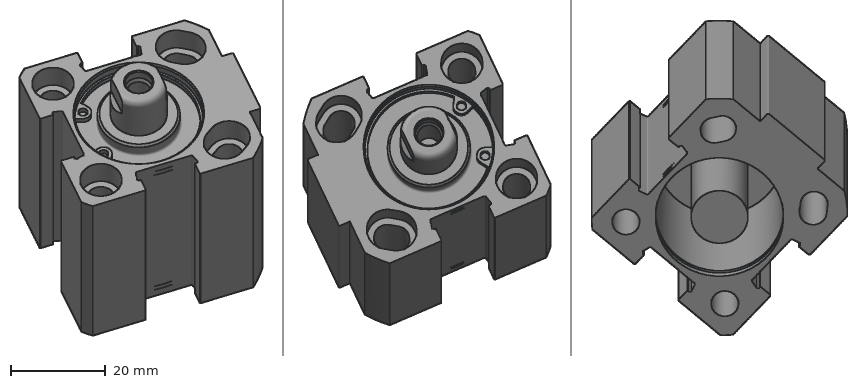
import cadquery as cq
import math

TOTAL_HEIGHT = 54.0

HOUSING_HEIGHT = 43.5
HALF_WIDTH = 40.0 / 2
BACK_SHOULDER_Y = 22.0
TONGUE_BACK_Y = 44.5 - HALF_WIDTH
TONGUE_WIDTH = 16.2
TONGUE_CORNER_RADIUS = 0.25
CORNER_TURNING_DIAMETER = 54.0

SIDE_SLOT_FLOOR_OFFSET = 14.7
FRONT_SLOT_FLOOR_OFFSET = 14.8
SLOT_LIP_OFFSET = 17.0
SLOT_OPENING_WIDTH = 12.2
SLOT_FLOOR_WIDTH = 12.7
SLOT_FLOOR_FILLET = 0.3
SLOT_UNDERCUT_WIDTH = 13.7
SLOT_CORNER_SIZE = 0.3
SLOT_MOUTH_CHAMFER = 0.15

HOLE_OFFSET = 14.0
HOLE_DIAMETER = 5.8
COUNTERBORE_DIAMETER = 8.8
COUNTERBORE_DEPTH = 5.9
REAR_HOLE_SHIFT_IN = 1.0
REAR_HOLE_SHIFT_BACK = 1.45

BORE_DIAMETER = 27.0
BORE_CHAMFER = 0.3
GROOVE_DIAMETER = 29.15
GROOVE_WIDTH = 1.2
TOP_GROOVE_DEPTH = 2.0
BOTTOM_GROOVE_HEIGHT = 1.85

RING_OUTER_DIAMETER = 28.4
RING_INNER_DIAMETER = 25.9
RING_THICKNESS = GROOVE_WIDTH
LUG_RADIUS = 1.8
LUG_CENTRE_RADIUS = 11.95
LUG_ANGLE = 30.4
LUG_FLARE_ANGLE = 27.0
LUG_HOLE_DIAMETER = 2.0

BOSS_DIAMETER = 17.5
BOSS_CHAMFER = 0.5
BOSS_FILLET = 0.5
BOSS_TOP_DROP = 0.15
COVER_THICKNESS = 6.0

ROD_DIAMETER = 12.0
ROD_FILLET = 1.3
FLATS_WIDTH = 10.0
FLATS_HEIGHT = 4.5
SOCKET_MOUTH_DIAMETER = 6.25
SOCKET_DIAMETER = 5.8
SOCKET_DEPTH = 2.2
SOCKET_CONE_DEPTH = 0.8
ROD_HOLE_DIAMETER = 4.9
ROD_HOLE_DEPTH = 12.0

LUG_GAP_HALF_ANGLE = math.degrees(math.asin(LUG_RADIUS / LUG_CENTRE_RADIUS))

RING_TOP_Z = HOUSING_HEIGHT - TOP_GROOVE_DEPTH
RING_BOTTOM_Z = RING_TOP_Z - RING_THICKNESS
COVER_TOP_Z = RING_BOTTOM_Z
COVER_BOTTOM_Z = COVER_TOP_Z - COVER_THICKNESS
BOSS_TOP_Z = HOUSING_HEIGHT - BOSS_TOP_DROP


def cylinder(diameter, bottom_z, top_z):
    """Cylinder on the Z axis between two heights."""
    base = cq.Workplane("XY").workplane(offset=bottom_z)
    return base.circle(diameter / 2).extrude(top_z - bottom_z)




def housing_block():
    """Square block with a tongue on its rear face and turned corners."""
    depth = HALF_WIDTH + BACK_SHOULDER_Y
    block = cq.Workplane("XY").box(2 * HALF_WIDTH, depth, HOUSING_HEIGHT, centered=(True, False, False))
    block = block.translate((0, -HALF_WIDTH, 0))
    block = block.intersect(cylinder(CORNER_TURNING_DIAMETER, 0, HOUSING_HEIGHT))
    tongue = (
        cq.Workplane("XY")
        .box(TONGUE_WIDTH, TONGUE_BACK_Y, HOUSING_HEIGHT, centered=(True, False, False))
        .edges("|Z and >Y")
        .fillet(TONGUE_CORNER_RADIUS)
    )
    return block.union(tongue)


def undercut_slot(floor_offset):
    """Full-height slot cutter opening through the front (-Y) face."""
    opening = SLOT_OPENING_WIDTH / 2
    undercut = SLOT_UNDERCUT_WIDTH / 2
    right_side = [
        (opening + SLOT_MOUTH_CHAMFER, -HALF_WIDTH),
        (opening, -HALF_WIDTH + SLOT_MOUTH_CHAMFER),
        (opening, -SLOT_LIP_OFFSET),
        (undercut - SLOT_CORNER_SIZE, -SLOT_LIP_OFFSET),
        (undercut, -SLOT_LIP_OFFSET + SLOT_CORNER_SIZE),
        (SLOT_FLOOR_WIDTH / 2, -floor_offset),
    ]
    left_side = [(-x, y) for x, y in reversed(right_side)]
    slot = cq.Workplane("XY").polyline(right_side + left_side).close().extrude(HOUSING_HEIGHT)
    return slot.faces(">Y").edges("|Z").fillet(SLOT_FLOOR_FILLET)


def front_hole(side, diameter, bottom_z):
    """Round hole cutter at a front corner; side is -1 for left and 1 for right."""
    plane = cq.Workplane("XY").workplane(offset=bottom_z).center(side * HOLE_OFFSET, -HOLE_OFFSET)
    return plane.circle(diameter / 2).extrude(HOUSING_HEIGHT - bottom_z)


def rear_hole(side, diameter, bottom_z):
    """Slotted hole cutter at a rear corner; side is -1 for left and 1 for right."""
    middle_x = side * (HOLE_OFFSET - REAR_HOLE_SHIFT_IN / 2)
    middle_y = HOLE_OFFSET + REAR_HOLE_SHIFT_BACK / 2
    length = math.hypot(REAR_HOLE_SHIFT_IN, REAR_HOLE_SHIFT_BACK) + diameter
    angle = math.degrees(math.atan2(REAR_HOLE_SHIFT_BACK, -side * REAR_HOLE_SHIFT_IN))
    plane = cq.Workplane("XY").workplane(offset=bottom_z).center(middle_x, middle_y)
    return plane.slot2D(length, diameter, angle).extrude(HOUSING_HEIGHT - bottom_z)


def bore():
    """Through bore cutter with a chamfered mouth and a snap ring groove near each end."""
    cutter = cylinder(BORE_DIAMETER, 0, HOUSING_HEIGHT)
    mouth = cq.Workplane("XY").add(
        cq.Solid.makeCone(
            BORE_DIAMETER / 2,
            BORE_DIAMETER / 2 + BORE_CHAMFER,
            BORE_CHAMFER,
            pnt=cq.Vector(0, 0, HOUSING_HEIGHT - BORE_CHAMFER),
        )
    )
    cutter = cutter.union(mouth)
    for groove_z in (BOTTOM_GROOVE_HEIGHT, RING_BOTTOM_Z):
        cutter = cutter.union(cylinder(GROOVE_DIAMETER, groove_z, groove_z + GROOVE_WIDTH))
    return cutter


def make_housing():
    housing = housing_block()
    housing = housing.cut(undercut_slot(FRONT_SLOT_FLOOR_OFFSET))
    side_slot = undercut_slot(SIDE_SLOT_FLOOR_OFFSET)
    for side in (-1, 1):
        housing = housing.cut(side_slot.rotate((0, 0, 0), (0, 0, 1), side * 90))
        for hole in (front_hole, rear_hole):
            housing = housing.cut(hole(side, HOLE_DIAMETER, 0))
            housing = housing.cut(hole(side, COUNTERBORE_DIAMETER, HOUSING_HEIGHT - COUNTERBORE_DEPTH))
    return housing.cut(bore())




def offset_point(start, angle, distance):
    """Point at a distance from start, at an angle in degrees from +X."""
    turn = math.radians(angle)
    return (start[0] + distance * math.cos(turn), start[1] + distance * math.sin(turn))


def snap_ring_lug():
    """Right-hand lug: a round eye with one radial side at the gap and one flared side."""
    outward = LUG_ANGLE - 90
    gap_side = outward - LUG_GAP_HALF_ANGLE
    flared_side = outward + LUG_FLARE_ANGLE
    eye = offset_point((0, 0), outward, LUG_CENTRE_RADIUS)
    gap_tangent = offset_point(eye, gap_side - 90, LUG_RADIUS)
    flare_tangent = offset_point(eye, flared_side + 90, LUG_RADIUS)
    reach = RING_OUTER_DIAMETER / 2
    sides = [
        eye,
        gap_tangent,
        offset_point(gap_tangent, gap_side, reach),
        offset_point(flare_tangent, flared_side, reach),
        flare_tangent,
    ]
    base = cq.Workplane("XY").workplane(offset=RING_BOTTOM_Z)
    lug = base.polyline(sides).close().extrude(RING_THICKNESS)
    lug = lug.union(base.center(*eye).circle(LUG_RADIUS).extrude(RING_THICKNESS))
    lug = lug.intersect(cylinder(RING_OUTER_DIAMETER, RING_BOTTOM_Z, RING_TOP_Z))
    return lug.cut(base.center(*eye).circle(LUG_HOLE_DIAMETER / 2).extrude(RING_THICKNESS))


def make_snap_ring():
    """Internal snap ring, open towards the front between its two lugs."""
    ring = cylinder(RING_OUTER_DIAMETER, RING_BOTTOM_Z, RING_TOP_Z)
    ring = ring.cut(cylinder(RING_INNER_DIAMETER, RING_BOTTOM_Z, RING_TOP_Z))
    gap_y = -RING_OUTER_DIAMETER
    gap_x = RING_OUTER_DIAMETER * math.tan(math.radians(LUG_ANGLE - LUG_GAP_HALF_ANGLE))
    gap = (
        cq.Workplane("XY")
        .workplane(offset=RING_BOTTOM_Z)
        .polyline([(0, 0), (-gap_x, gap_y), (gap_x, gap_y)])
        .close()
        .extrude(RING_THICKNESS)
    )
    lug = snap_ring_lug()
    return ring.cut(gap).union(lug).union(lug.mirror("YZ"))




def make_cover():
    """Round plate closing the bore, with a raised boss around the rod."""
    plate = cylinder(BORE_DIAMETER, COVER_BOTTOM_Z, COVER_TOP_Z)
    boss = cylinder(BOSS_DIAMETER, COVER_TOP_Z, BOSS_TOP_Z).faces(">Z").edges().chamfer(BOSS_CHAMFER)
    cover = plate.union(boss)
    boss_foot = cover.faces("|Z").faces("<Z[1]").edges(cq.selectors.RadiusNthSelector(0))
    cover = boss_foot.fillet(BOSS_FILLET)
    return cover.cut(cylinder(ROD_DIAMETER, COVER_BOTTOM_Z, BOSS_TOP_Z))




def spanner_flat():
    """Cutter for the front flat, with a 45 degree run-out at its lower end."""
    flat_y = -FLATS_WIDTH / 2
    outer_y = -ROD_DIAMETER / 2
    flat_bottom_z = TOTAL_HEIGHT - FLATS_HEIGHT
    profile = [
        (flat_y, TOTAL_HEIGHT),
        (flat_y, flat_bottom_z),
        (outer_y, flat_bottom_z + outer_y - flat_y),
        (outer_y, TOTAL_HEIGHT),
    ]
    return cq.Workplane("YZ").polyline(profile).close().extrude(ROD_DIAMETER / 2, both=True)


def rod_socket():
    """Stepped hole cutter: chamfered mouth, short socket, cone and a narrower blind hole."""
    socket_radius = SOCKET_DIAMETER / 2
    mouth_radius = SOCKET_MOUTH_DIAMETER / 2
    hole_radius = ROD_HOLE_DIAMETER / 2
    socket_bottom_z = TOTAL_HEIGHT - SOCKET_DEPTH
    hole_bottom_z = TOTAL_HEIGHT - ROD_HOLE_DEPTH
    profile = [
        (0, TOTAL_HEIGHT),
        (mouth_radius, TOTAL_HEIGHT),
        (socket_radius, TOTAL_HEIGHT - (mouth_radius - socket_radius)),
        (socket_radius, socket_bottom_z),
        (hole_radius, socket_bottom_z - SOCKET_CONE_DEPTH),
        (hole_radius, hole_bottom_z),
        (0, hole_bottom_z),
    ]
    return cq.Workplane("XZ").polyline(profile).close().revolve(360, (0, 0, 0), (0, 1, 0))


def make_rod():
    rod = cylinder(ROD_DIAMETER, 0, TOTAL_HEIGHT).faces(">Z").edges().fillet(ROD_FILLET)
    rod = rod.cut(rod_socket())
    front_flat = spanner_flat()
    return rod.cut(front_flat).cut(front_flat.mirror("XZ"))


housing = make_housing()
snap_ring = make_snap_ring()
cover = make_cover()
rod = make_rod()

result = cq.Compound.makeCompound([housing.val(), snap_ring.val(), cover.val(), rod.val()])